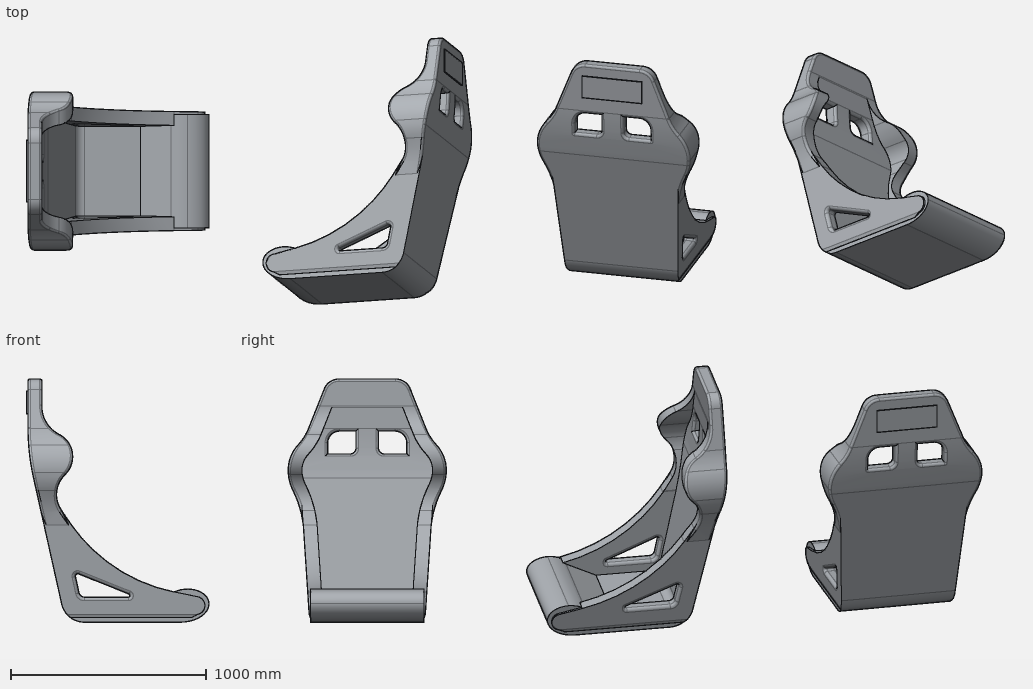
import cadquery as cq
import math


HEIGHT = 1244.0
LENGTH = 933.0
THROUGH = 1492.0

SHELL = 72.0
SIDE_WALL = 71.0

EMBLEM_DEPTH = 7.0
EMBLEM_WIDTH = 316.0
EMBLEM_BOTTOM_Z = 1065.0
EMBLEM_TOP_Z = 1183.0

REAR_X = EMBLEM_DEPTH
CHEST_X = REAR_X + SHELL
BEND_TOP_Z = 991.0
BEND_END_Z = 736.0
RECLINE = math.radians(12.6)
HEEL_RADIUS = 120.0
INNER_HEEL_RADIUS = HEEL_RADIUS - SHELL

WING_END_Z = 497.0
WING_ROUND = 12.0
HEADREST_HALF = 144.0
HEADREST_SHOULDER = (221.0, 1189.0)
HEADREST_FOOT_HALF = 300.0
WING_TOP = (353.0, 907.0)
WING_WIDEST = (404.0, 765.0)
WING_BOTTOM = (379.0, 673.0)

HEADREST_FRONT_END_Z = 1105.0
WING_FRONT_TOP = (167.0, 960.0)
WING_FRONT_BOTTOM = (198.0, 755.0)
WAIST_END = (179.0, 572.0)
RAIL_SWEEP_TOP_X = 230.0
RAIL_SWEEP_END = (754.0, 155.0)

RAIL_FOOT_Z = 24.0
RAIL_CHAMFER_Z = 41.0
RAIL_FOOT_HALF = 291.0
RAIL_BASE_HALF = 297.0
RAIL_TOP_HALF = 327.0
RAIL_OVERLAP_Z = 622.0
RAIL_FOOT_END_X = 842.0
RAIL_NOSE = (910.0, 96.0)
RAIL_NOSE_BACK_X = 875.0
RAIL_NOSE_TOP_Z = 130.0

BASE_HALF = 290.0
UNDERSIDE_END_X = 786.0
RAMP_START_X = 583.0
RAMP_END = (737.0, 147.0)
NOSE_Z = 96.0
BOLSTER_TOP_X = 823.0
BOLSTER_TOP_Z = 170.0

WINDOW_INNER_Y = 58.0
WINDOW_OUTER_Y = 201.0
WINDOW_BOTTOM_Z = 860.0
WINDOW_TOP_Z = 976.0
WINDOW_OUTER_ROUND = 60.0
WINDOW_INNER_ROUND = 27.0
WINDOW_RIM = 14.0

OPENING_REAR_BOTTOM = (274.0, 129.0)
OPENING_REAR_TOP = (246.0, 255.0)
OPENING_FRONT = (560.0, 129.0)
OPENING_ROUNDS = [27.0, 11.0, 7.0]
OPENING_RIM = 17.0

JOIN_TOLERANCE = 0.001
X_AXIS = 0
Y_AXIS = 1
RIM_MARGIN = 1.0


def rear_x(z, depth=0.0):
    """X of the reclined rear plane at height z, moved into the shell by depth."""
    bend_middle_z = (BEND_TOP_Z + BEND_END_Z) / 2
    return REAR_X + (bend_middle_z - z) * math.tan(RECLINE) + depth / math.cos(RECLINE)


HEEL_X = rear_x(HEEL_RADIUS, HEEL_RADIUS)


def heel_point(radius, angle):
    """Point (X, Z) on a round about the heel centre, angle counted from straight back."""
    return (HEEL_X - radius * math.cos(angle), HEEL_RADIUS - radius * math.sin(angle))


HEEL_MIDDLE = (RECLINE + math.pi / 2) / 2
FOOT_ANGLE = math.asin((HEEL_RADIUS - RAIL_FOOT_Z) / HEEL_RADIUS)


def side_plane(half_width):
    """XZ plane from which an extrusion of twice half_width is centred on Y = 0."""
    return cq.Workplane("XZ", origin=(0, half_width, 0))


def side_body():
    """Side silhouette of the backrest, wings and rails."""
    return (
        side_plane(THROUGH / 2)
        .moveTo(REAR_X, HEIGHT)
        .lineTo(REAR_X, BEND_TOP_Z)
        .tangentArcPoint((rear_x(BEND_END_Z), BEND_END_Z), relative=False)
        .lineTo(*heel_point(HEEL_RADIUS, RECLINE))
        .tangentArcPoint(heel_point(HEEL_RADIUS, FOOT_ANGLE), relative=False)
        .lineTo(RAIL_FOOT_END_X, RAIL_FOOT_Z)
        .lineTo(RAIL_NOSE_BACK_X, RAIL_CHAMFER_Z)
        .threePointArc(RAIL_NOSE, (RAIL_NOSE_BACK_X, RAIL_NOSE_TOP_Z))
        .lineTo(*RAIL_SWEEP_END)
        .tangentArcPoint((RAIL_SWEEP_TOP_X, WING_END_Z), relative=False)
        .lineTo(*WAIST_END)
        .tangentArcPoint(WING_FRONT_BOTTOM, relative=False)
        .tangentArcPoint(WING_FRONT_TOP, relative=False)
        .tangentArcPoint((CHEST_X, HEADREST_FRONT_END_Z), relative=False)
        .lineTo(CHEST_X, HEIGHT)
        .close()
        .extrude(THROUGH)
    )


def wing_edge():
    """Edge of headrest and wing on the +Y side, from the top centre down to the rail."""
    return (
        cq.Workplane("YZ")
        .moveTo(0, HEIGHT)
        .lineTo(HEADREST_HALF, HEIGHT)
        .tangentArcPoint(HEADREST_SHOULDER, relative=False)
        .lineTo(HEADREST_FOOT_HALF, BEND_TOP_Z)
        .tangentArcPoint(WING_TOP, relative=False)
        .tangentArcPoint(WING_WIDEST, relative=False)
        .tangentArcPoint(WING_BOTTOM, relative=False)
        .tangentArcPoint((RAIL_TOP_HALF, WING_END_Z), relative=False)
    )


def wing_block():
    """Outline of headrest and wings, run through along X."""
    return wing_edge().lineTo(0, WING_END_Z).mirrorY().extrude(THROUGH)


def rail_block():
    """Outline of the tapering rails, run through along X."""
    taper = (RAIL_TOP_HALF - RAIL_BASE_HALF) / (WING_END_Z - RAIL_CHAMFER_Z)
    overlap_half = RAIL_TOP_HALF + taper * (RAIL_OVERLAP_Z - WING_END_Z)
    return (
        cq.Workplane("YZ")
        .moveTo(0, RAIL_OVERLAP_Z)
        .lineTo(overlap_half, RAIL_OVERLAP_Z)
        .lineTo(RAIL_BASE_HALF, RAIL_CHAMFER_Z)
        .lineTo(RAIL_FOOT_HALF, RAIL_FOOT_Z)
        .lineTo(0, RAIL_FOOT_Z)
        .mirrorY()
        .extrude(THROUGH)
    )


def inner_block():
    """Space between the side walls: the outer outline moved in by the wall, run along X."""
    outline = (
        wing_edge()
        .lineTo(RAIL_BASE_HALF, RAIL_CHAMFER_Z)
        .lineTo(RAIL_BASE_HALF, -SIDE_WALL)
        .lineTo(0, -SIDE_WALL)
        .mirrorY()
    )
    return outline.offset2D(-SIDE_WALL).extrude(THROUGH)


def blank():
    """Full-width seat, with the outline of the wings rounded over at front and rear."""
    body = side_body()
    wings = body.intersect(wing_block())
    outline_edges = wings.edges("(not (|X or |Y)) or (>Z and |Y)")
    rails = body.intersect(rail_block())
    return outline_edges.fillet(WING_ROUND).union(rails, tol=JOIN_TOLERANCE)


def seat_space():
    """Room for the driver: ahead of the backrest, above the floor, between the side walls."""
    ahead_of_shell = (
        side_plane(THROUGH / 2)
        .moveTo(CHEST_X, THROUGH)
        .lineTo(CHEST_X, BEND_TOP_Z)
        .tangentArcPoint((rear_x(BEND_END_Z, SHELL), BEND_END_Z), relative=False)
        .lineTo(*heel_point(INNER_HEEL_RADIUS, RECLINE))
        .tangentArcPoint((HEEL_X, SHELL), relative=False)
        .lineTo(THROUGH, SHELL)
        .lineTo(THROUGH, THROUGH)
        .close()
        .extrude(THROUGH)
    )
    return ahead_of_shell.intersect(inner_block())


def base():
    """Floor with the rounded heel, the ramp and the thigh bolster, narrower than the rails."""
    return (
        side_plane(BASE_HALF)
        .moveTo(HEEL_X, 0)
        .lineTo(UNDERSIDE_END_X, 0)
        .ellipseArc(LENGTH - UNDERSIDE_END_X, NOSE_Z, 270, 360)
        .ellipseArc(LENGTH - BOLSTER_TOP_X, BOLSTER_TOP_Z - NOSE_Z, 0, 90)
        .tangentArcPoint(RAMP_END, relative=False)
        .lineTo(RAMP_START_X, SHELL)
        .lineTo(HEEL_X, SHELL)
        .threePointArc(
            heel_point(INNER_HEEL_RADIUS, HEEL_MIDDLE), heel_point(INNER_HEEL_RADIUS, RECLINE)
        )
        .lineTo(*heel_point(HEEL_RADIUS, RECLINE))
        .threePointArc(heel_point(HEEL_RADIUS, HEEL_MIDDLE), (HEEL_X, 0))
        .close()
        .extrude(2 * BASE_HALF)
    )


def rounded_prism(workplane, corners, rounds):
    """Through prism over a polygon, each corner with its own round (0 leaves it sharp)."""
    prism = workplane.polyline(corners).close().extrude(THROUGH)
    for (u, v), radius in zip(corners, rounds):
        if radius > 0:
            edge_middle = workplane.plane.toWorldCoords((u, v, THROUGH / 2))
            prism = prism.edges(cq.NearestToPointSelector(edge_middle.toTuple())).fillet(radius)
    return prism


def window(side):
    """Headrest window; side is 1 for +Y and -1 for -Y."""
    inner = side * WINDOW_INNER_Y
    outer = side * WINDOW_OUTER_Y
    corners = [
        (inner, WINDOW_BOTTOM_Z),
        (outer, WINDOW_BOTTOM_Z),
        (outer, WINDOW_TOP_Z),
        (inner, WINDOW_TOP_Z),
    ]
    rounds = [WINDOW_INNER_ROUND, 0, WINDOW_OUTER_ROUND, 0]
    return rounded_prism(cq.Workplane("YZ"), corners, rounds)


def rail_opening():
    """Three-cornered opening through both side rails."""
    corners = [OPENING_REAR_BOTTOM, OPENING_REAR_TOP, OPENING_FRONT]
    return rounded_prism(side_plane(THROUGH / 2), corners, OPENING_ROUNDS)


def emblem():
    """Plain pad standing off the rear face of the headrest, sunk into the shell behind it."""
    height = EMBLEM_TOP_Z - EMBLEM_BOTTOM_Z
    depth = EMBLEM_DEPTH + SHELL / 2
    pad = cq.Workplane("XY").box(depth, EMBLEM_WIDTH, height, centered=(False, True, False))
    return pad.translate((0, 0, EMBLEM_BOTTOM_Z))


class RimEdges(cq.Selector):
    """Edges around an opening: lying inside its bounding box but not running along its axis."""

    def __init__(self, cutter, axis):
        box = cutter.val().BoundingBox()
        self.low = [box.xmin, box.ymin, box.zmin]
        self.high = [box.xmax, box.ymax, box.zmax]
        self.axis = axis

    def filter(self, edges):
        return [edge for edge in edges if self.is_rim(edge)]

    def is_rim(self, edge):
        box = edge.BoundingBox()
        low = [box.xmin, box.ymin, box.zmin]
        high = [box.xmax, box.ymax, box.zmax]
        above_low = all(edge_low > limit - RIM_MARGIN for edge_low, limit in zip(low, self.low))
        below_high = all(edge_high < limit + RIM_MARGIN for edge_high, limit in zip(high, self.high))
        return above_low and below_high and high[self.axis] - low[self.axis] < SHELL / 2


def cut_with_rim(body, cutter, axis, rim_radius):
    """Cut an opening and round over its rims at both ends."""
    return body.cut(cutter).edges(RimEdges(cutter, axis)).fillet(rim_radius)


result = blank().cut(seat_space()).union(base())
for side in (-1, 1):
    result = cut_with_rim(result, window(side), X_AXIS, WINDOW_RIM)
result = cut_with_rim(result, rail_opening(), Y_AXIS, OPENING_RIM)
result = result.union(emblem())